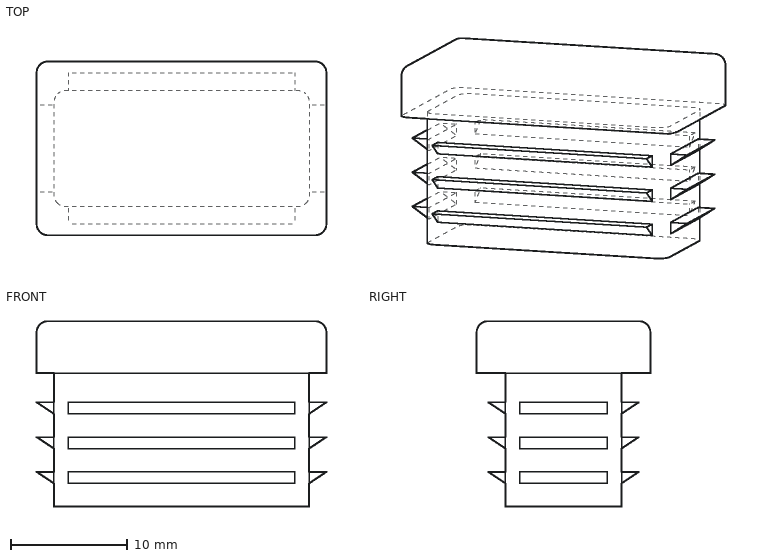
import cadquery as cq

CAP_LENGTH = 25.0
CAP_WIDTH = 15.0
CAP_HEIGHT = 4.5
CAP_ROUNDING = 1.0

STEM_LENGTH = 22.0
STEM_WIDTH = 10.0
STEM_HEIGHT = 11.5
STEM_CORNER_RADIUS = 1.0

BARB_REACH = 1.5
BARB_HEIGHT = 1.0
BARB_PITCH = 3.0
BARB_COUNT = 3
BARB_END_MARGIN = 1.25
BARB_ROOT_OVERLAP = 0.5


def make_cap():
    """Rectangular cap with rounded upright and top edges."""
    cap = cq.Workplane("XY").workplane(offset=STEM_HEIGHT)
    cap = cap.rect(CAP_LENGTH, CAP_WIDTH).extrude(CAP_HEIGHT)
    return cap.edges("|Z or >Z").fillet(CAP_ROUNDING)


def make_stem():
    """Rectangular stem with rounded corners, standing on Z = 0."""
    stem = cq.Workplane("XY").rect(STEM_LENGTH, STEM_WIDTH).extrude(STEM_HEIGHT)
    return stem.edges("|Z").fillet(STEM_CORNER_RADIUS)


def make_barb(face_distance, face_width, top_z):
    """Flat-topped wedge on the +X side of a stem face at the given distance from the axis."""
    root_x = face_distance - BARB_ROOT_OVERLAP
    tip_x = face_distance + BARB_REACH
    bottom_z = top_z - BARB_HEIGHT
    profile = [
        (root_x, top_z),
        (tip_x, top_z),
        (face_distance, bottom_z),
        (root_x, bottom_z),
    ]
    barb_length = face_width - 2 * BARB_END_MARGIN
    return cq.Workplane("XZ").polyline(profile).close().extrude(barb_length / 2, both=True)


def add_barbs(body):
    """Add evenly spaced rows of barbs to all four stem sides."""
    for row in range(1, BARB_COUNT + 1):
        top_z = row * BARB_PITCH
        end_barb = make_barb(STEM_LENGTH / 2, STEM_WIDTH, top_z)
        side_barb = make_barb(STEM_WIDTH / 2, STEM_LENGTH, top_z)
        for barb, angle in ((end_barb, 0), (side_barb, 90), (end_barb, 180), (side_barb, 270)):
            body = body.union(barb.rotate((0, 0, 0), (0, 0, 1), angle))
    return body


result = add_barbs(make_stem().union(make_cap()))